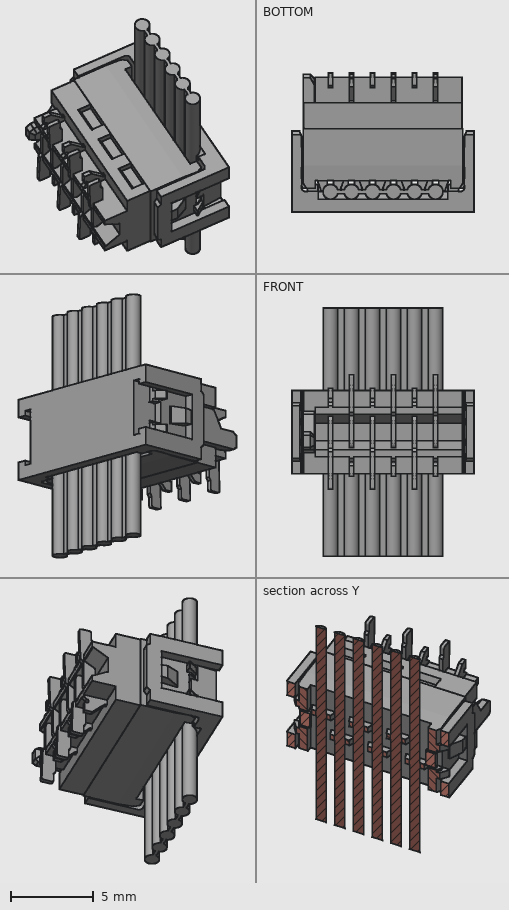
import cadquery as cq
import math


height = 5.04
half_height = height / 2
wire_count = 6
row_span = 6.35
pitch = row_span / (wire_count - 1)
wire_x = [-row_span / 2 + i * pitch for i in range(wire_count)]

cable_length = 15.0
wire_radius = 0.45
wire_y = -1.23
web_thickness = 0.22

cover_width = 11.0
cover_half = cover_width / 2
plate_y = -1.25
arm_inner_x = 4.92
arm_end_y = -4.68
tip_end_y = -4.9
tip_root_z = 1.77
tip_end_z = 1.59
lead_in_start_y = -4.59
lead_in_end_x = 5.04
inner_corner_radius = 0.25
window_end_y = -3.95
window_half_z = 1.41
plate_side_x = 4.6
plate_side_taper = 0.15
plate_notch_half_z = 1.71
cable_slot_half_x = 3.92
cable_slot_y = -0.78
cable_ramp_height = 0.33
post_half_z = 0.57
post_end_y = -1.68

body_half_x = 4.83
lug_back_y = -1.44
body_back_y = -1.9
lug_inner_x = 4.08
lug_notch_half_z = 0.66
corner_chamfer_x = 0.21
corner_chamfer_y = 0.33
slope_end_y = -2.82
slope_drop = 0.12
step_y = -5.04
front_half_x = 4.77
front_half_z = 2.5
front_y = -6.62

hook_inner_z = 0.81
hook_outer_z = 1.32
hook_end_y = -2.05
hook_crest_y = -1.98
hook_crest_x = 5.25

wedge_start_y = -2.68
wedge_crest_y = -3.5
wedge_start_height = 0.12
wedge_height = 0.57
wedge_start_half_z = 0.54
wedge_end_half_z = 0.44

pocket_width = 1.71
pocket_offset_x = 0.06
pocket_floor_end_y = -5.68
pocket_end_y = -5.91
pocket_depth = 0.39

tongue_left_x = -4.1
tongue_half_z = 1.5
tongue_end_y = -8.15
mouth_floor_y = -7.12
mouth_floor_half_z = 0.52
mouth_end_half_z = 1.08
mouth_land = 0.06

lever_bay_half_z = 1.26
lever_inner_x = -4.14
lever_half_z = 1.08
lever_root_radius = 0.33
lever_shoulder_y = -6.4
lever_neck_y = -7.04
lever_neck_z = 0.02
lever_nose_y = -8.02
lever_end_y = -8.32
lever_end_top_z = -0.2
lever_end_bottom_z = -0.93
lever_heel_y = -8.12
lever_tip_chamfer = 0.25
edge_margin = 0.02

contact_thickness = 0.25
fork_inner_z = 0.52
fork_outer_z = 0.95
fork_tip_y = -1.26
fork_root_y = -1.95
fork_tip_half_x = 0.57
fork_root_half_x = 0.81
fork_slot_half_x = 0.18

blade_top_z = 0.96
blade_side_z = 0.66
blade_back_y = -7.4
leg_back_y = -7.5
leg_front_y = -8.32
leg_bend_start_z = 0.99
leg_bend_end_z = 1.18
foot_back_y = -7.64
foot_front_y = -8.4
foot_bend_z = 2.62
foot_back_z = 2.82
foot_end_z = 3.45
foot_radius = 0.12

tab_root_z = 1.83
tab_ramp_y = -6.74
tab_back_y = -7.58
tab_front_y = -8.05
tab_top_z = 2.65
tab_lower_z = 2.04
tab_notch_y = -7.82
tab_notch_z = 1.92
tab_notch_start_y = -7.9
tab_notch_end_y = -7.95
tab_notch_end_z = 1.78
tab_base_z = 1.59


def box(x0, x1, y0, y1, z0, z1):
    """Box between two opposite corners."""
    return cq.Workplane("XY").box(x1 - x0, y1 - y0, z1 - z0, centered=False).translate((x0, y0, z0))


def prism_along_x(points, x0, x1):
    """Extrude a closed (y, z) outline from x0 to x1."""
    return cq.Workplane("YZ").polyline(points).close().extrude(x1 - x0).translate((x0, 0, 0))


def prism_along_z(points, z0, z1):
    """Extrude a closed (x, y) outline from z0 to z1."""
    return cq.Workplane("XY").polyline(points).close().extrude(z1 - z0).translate((0, 0, z0))


def both_sides(shape, plane):
    """Join a shape with its mirror image."""
    return shape.union(shape.mirror(plane))


def make_cable():
    """Round wires side by side, joined by thin webs."""
    half_length = cable_length / 2
    cable = box(wire_x[0], wire_x[-1], wire_y - web_thickness / 2, wire_y + web_thickness / 2,
                -half_length, half_length)
    for x in wire_x:
        wire = cq.Workplane("XY").center(x, wire_y).circle(wire_radius).extrude(half_length, both=True)
        cable = cable.union(wire)
    return cable


def cover_arm_tip():
    """Everything in front of the stepped arm end, as a cutting tool."""
    far_y = tip_end_y - 0.15
    far_z = half_height + 0.15
    tool = prism_along_x([(arm_end_y, far_z), (arm_end_y, tip_root_z), (tip_end_y, tip_end_z),
                          (far_y, tip_end_z), (far_y, far_z)], -cover_half, cover_half)
    return both_sides(tool, "XY")


def make_cover(cable):
    """U-shaped cover with side windows and a slot that clamps the cable."""
    cover = box(-cover_half, cover_half, tip_end_y, 0, -half_height, half_height)
    inside = box(-arm_inner_x, arm_inner_x, tip_end_y - 0.15, plate_y, -half_height, half_height)
    cover = cover.cut(inside.edges("|Z and >Y").fillet(inner_corner_radius))
    cover = cover.cut(cover_arm_tip())

    lead_in = prism_along_z([(arm_inner_x, lead_in_start_y), (lead_in_end_x, tip_end_y),
                             (arm_inner_x, tip_end_y)], -half_height, half_height)
    cover = cover.cut(both_sides(lead_in, "YZ"))

    post = box(cable_slot_half_x, plate_side_x, post_end_y, plate_y, -post_half_z, post_half_z)
    cover = cover.union(both_sides(post, "YZ"))

    window = box(arm_inner_x, cover_half, window_end_y, 0, -window_half_z, window_half_z)
    plate_notch = prism_along_z([(plate_side_x - plate_side_taper, 0), (arm_inner_x, 0),
                                 (arm_inner_x, post_end_y), (plate_side_x, post_end_y)],
                                -plate_notch_half_z, plate_notch_half_z)
    cover = cover.cut(both_sides(window.union(plate_notch), "YZ"))

    cable_ramp = prism_along_x([(cable_slot_y, half_height), (plate_y, half_height),
                                (plate_y, half_height - cable_ramp_height)],
                               -cable_slot_half_x, cable_slot_half_x)
    return cover.cut(both_sides(cable_ramp, "XY")).cut(cable)


def housing_body():
    """Wide rear body with two lugs, and the slightly narrower front block."""
    back_half_z = half_height - slope_drop
    profile = [(lug_back_y, back_half_z), (slope_end_y, half_height), (step_y, half_height)]
    mirrored = [(y, -z) for y, z in reversed(profile)]
    body = prism_along_x(profile + mirrored, -body_half_x, body_half_x)
    corner = prism_along_z([(body_half_x, lug_back_y), (body_half_x - corner_chamfer_x, lug_back_y),
                            (body_half_x, lug_back_y - corner_chamfer_y)], -half_height, half_height)
    body = body.cut(both_sides(corner, "YZ"))
    body = body.cut(box(-lug_inner_x, lug_inner_x, body_back_y, lug_back_y, -half_height, half_height))
    body = body.cut(box(-body_half_x, body_half_x, body_back_y, lug_back_y,
                        -lug_notch_half_z, lug_notch_half_z))
    front = box(-front_half_x, front_half_x, front_y, step_y, -front_half_z, front_half_z)
    return body.union(front)


def side_hook():
    """Small ramped hook on the lug's side."""
    root_x = body_half_x - corner_chamfer_x
    return prism_along_z([(root_x, lug_back_y), (body_half_x, lug_back_y), (hook_crest_x, hook_crest_y),
                          (hook_crest_x, hook_end_y), (root_x, hook_end_y)],
                         hook_inner_z, hook_outer_z)


def side_wedge():
    """Latch wedge that catches the front edge of the cover's window."""
    crest_x = body_half_x + wedge_height
    ramp = prism_along_z([(body_half_x, wedge_start_y), (body_half_x + wedge_start_height, wedge_start_y),
                          (crest_x, wedge_crest_y), (crest_x, window_end_y), (body_half_x, window_end_y)],
                         -wedge_start_half_z, wedge_start_half_z)
    outline = prism_along_x([(wedge_start_y, wedge_start_half_z), (window_end_y, wedge_end_half_z),
                             (window_end_y, -wedge_end_half_z), (wedge_start_y, -wedge_start_half_z)],
                            body_half_x, crest_x)
    return ramp.intersect(outline)


def top_pocket(x):
    """Shallow pocket with a sloped front wall, centred on x."""
    floor_z = front_half_z - pocket_depth
    return prism_along_x([(step_y, front_half_z), (step_y, floor_z), (pocket_floor_end_y, floor_z),
                          (pocket_end_y, front_half_z)], x - pocket_width / 2, x + pocket_width / 2)


def tongue():
    """Mating tongue with a flared mouth between its two plates."""
    block = box(tongue_left_x, front_half_x, tongue_end_y, front_y, -tongue_half_z, tongue_half_z)
    land_y = tongue_end_y + mouth_land
    profile = [(mouth_floor_y, mouth_floor_half_z), (land_y, mouth_end_half_z),
               (tongue_end_y, mouth_end_half_z)]
    mirrored = [(y, -z) for y, z in reversed(profile)]
    mouth = prism_along_x(profile + mirrored, tongue_left_x, front_half_x)
    return block.cut(mouth)


def lever():
    """Side lever, rooted in the wide body by two concave fillets."""
    root_z = lever_half_z + lever_root_radius
    root_y = step_y - lever_root_radius
    arc_reach = lever_root_radius * (1 - math.sqrt(0.5))
    bar = (
        cq.Workplane("YZ")
        .moveTo(step_y, root_z)
        .threePointArc((step_y - arc_reach, lever_half_z + arc_reach), (root_y, lever_half_z))
        .lineTo(lever_shoulder_y, lever_half_z)
        .lineTo(lever_neck_y, lever_neck_z)
        .lineTo(lever_nose_y, lever_neck_z)
        .lineTo(lever_end_y, lever_end_top_z)
        .lineTo(lever_end_y, lever_end_bottom_z)
        .lineTo(lever_heel_y, -lever_half_z)
        .lineTo(root_y, -lever_half_z)
        .threePointArc((step_y - arc_reach, -lever_half_z - arc_reach), (step_y, -root_z))
        .close()
        .extrude(lever_inner_x + body_half_x)
        .translate((-body_half_x, 0, 0))
    )
    tip = cq.selectors.BoxSelector((lever_inner_x - edge_margin, lever_end_y - edge_margin, -lever_half_z),
                                   (lever_inner_x + edge_margin, lever_neck_y, lever_half_z))
    return bar.faces(">X").edges(tip).chamfer(lever_tip_chamfer)


def fork(x):
    """Forked contact end that grips the wire at x, above the mid-plane."""
    prongs = prism_along_z([(x - fork_root_half_x, fork_root_y), (x - fork_tip_half_x, fork_tip_y),
                            (x + fork_tip_half_x, fork_tip_y), (x + fork_root_half_x, fork_root_y)],
                           fork_inner_z, fork_outer_z)
    return prongs.cut(box(x - fork_slot_half_x, x + fork_slot_half_x, body_back_y, fork_tip_y,
                          fork_inner_z, fork_outer_z))


def contact_leg(x):
    """Long contact: a blade across the mouth and a leg that rises above the tongue."""
    blade_round = blade_top_z - blade_side_z
    blade_reach = blade_round * (1 - math.sqrt(0.5))
    leg = (
        cq.Workplane("YZ")
        .moveTo(blade_back_y, -blade_top_z)
        .lineTo(tongue_end_y + blade_round, -blade_top_z)
        .threePointArc((tongue_end_y + blade_reach, -blade_top_z + blade_reach),
                       (tongue_end_y, -blade_side_z))
        .lineTo(tongue_end_y, leg_bend_start_z)
        .lineTo(leg_front_y, leg_bend_end_z)
        .lineTo(foot_front_y, foot_end_z - foot_radius)
        .lineTo(foot_front_y, foot_end_z)
        .lineTo(foot_back_y, foot_end_z)
        .lineTo(foot_back_y, foot_back_z)
        .lineTo(leg_back_y, foot_bend_z)
        .lineTo(leg_back_y, tongue_half_z)
        .lineTo(blade_back_y, tongue_half_z)
        .close()
        .extrude(contact_thickness)
        .translate((x - contact_thickness / 2, 0, 0))
    )
    return leg.faces(">Z").edges("|X").fillet(foot_radius)


def contact_tab(x):
    """Short ramped tab below the tongue, with a rounded notch in its front edge."""
    profile = (
        cq.Workplane("YZ")
        .moveTo(front_y, -tongue_half_z)
        .lineTo(front_y, -tab_root_z)
        .lineTo(tab_ramp_y, -tab_root_z)
        .lineTo(tab_back_y, -tab_top_z)
        .lineTo(tab_front_y, -tab_top_z)
        .lineTo(tab_front_y, -tab_lower_z)
        .lineTo(tab_notch_start_y, -tab_lower_z)
        .threePointArc((tab_notch_y, -tab_notch_z), (tab_notch_end_y, -tab_notch_end_z))
        .lineTo(tongue_end_y, -tab_base_z)
        .lineTo(tongue_end_y, -tongue_half_z)
        .close()
    )
    return profile.extrude(contact_thickness).translate((x - contact_thickness / 2, 0, 0))


def make_housing(cable):
    """Housing with its latches, lever, tongue and six contacts as one solid."""
    housing = housing_body()
    latches = both_sides(side_hook(), "XY").union(side_wedge())
    housing = housing.union(both_sides(latches, "YZ"))
    for x in wire_x[1::2]:
        housing = housing.cut(top_pocket(x + pocket_offset_x))

    lever_bay = box(-body_half_x, tongue_left_x, front_y, step_y, -lever_bay_half_z, lever_bay_half_z)
    housing = housing.cut(lever_bay).union(lever()).union(tongue())

    for index, x in enumerate(wire_x):
        contact = fork(x).union(contact_leg(x)).union(contact_tab(x))
        if index % 2 == 0:
            contact = contact.mirror("XY")
        housing = housing.union(contact)
    return housing.cut(cable)


cable = make_cable()
cover = make_cover(cable)
housing = make_housing(cable)

result = cq.Compound.makeCompound([*cover.solids().vals(), *housing.solids().vals(), *cable.solids().vals()])